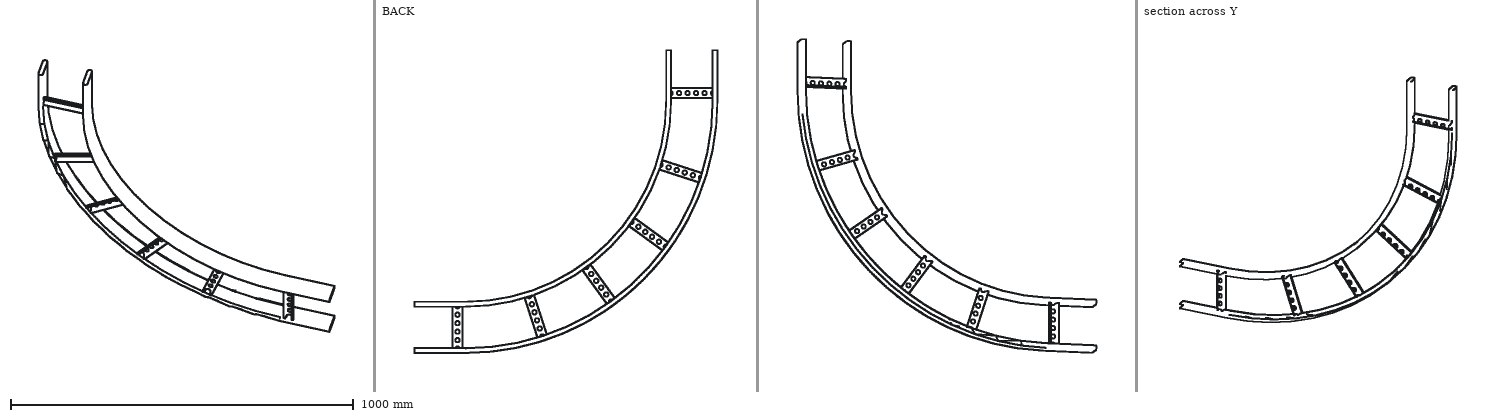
import cadquery as cq
import math


rail_depth = 60.0
rail_width = 15.0
rail_wall = 1.3
ladder_width = 150.5
bend_radius = 734.5
straight_length = 150.5

outer_rail_radius = bend_radius - rail_width / 2
inner_rail_radius = bend_radius - ladder_width + rail_width / 2
middle_radius = bend_radius - ladder_width / 2
clear_width = ladder_width - 2 * rail_width

rung_width = 30.0
rung_depth = 16.0
rung_sheet = 1.5
fold_inside_radius = 1.0
fold_outside_radius = fold_inside_radius + rung_sheet
mouth_width = 19.0
web_width = 13.0
lip_length = 5.0
rung_back = -9.0
rung_front = rung_back - rung_depth
lip_tip = rung_front + lip_length
rung_from_bend = 25.0
bend_spaces = 5
hole_diameter = 12.0
hole_pitch = 25.0
hole_count = 6


def ladder_path(radius):
    """Line, quarter arc, line, at the given distance from the bend axis."""
    middle = radius * math.sqrt(0.5)
    return (
        cq.Workplane("XZ")
        .moveTo(-radius, straight_length)
        .lineTo(-radius, 0)
        .threePointArc((-middle, -middle), (0, -radius))
        .lineTo(straight_length, -radius)
    )


def end_plane(radius):
    """Plane of the upper end, centred on the path of the given radius."""
    return cq.Workplane("XY", origin=(-radius, 0, straight_length))


def make_rail(radius):
    """Hollow rail with fully rounded edges, open at both ends."""
    section = (
        end_plane(radius)
        .slot2D(rail_depth, rail_width, 90)
        .slot2D(rail_depth - 2 * rail_wall, rail_width - 2 * rail_wall, 90)
    )
    return section.sweep(ladder_path(radius))


def hat_outline():
    """Half of the hat section as (Y, Z) points: outer side from web to lip, then inner side back."""
    mouth = mouth_width / 2
    web = web_width / 2
    edge = rung_width / 2
    return [
        (rung_back, 0),
        (rung_back, web + rung_sheet),
        (rung_front + rung_sheet, mouth + rung_sheet),
        (rung_front + rung_sheet, edge - rung_sheet),
        (lip_tip, edge - rung_sheet),
        (lip_tip, edge),
        (rung_front, edge),
        (rung_front, mouth),
        (rung_back - rung_sheet, web),
        (rung_back - rung_sheet, 0),
    ]


def make_rung():
    """Hat-channel rung lying along X at the upper end of the bend, longer than the clear width."""
    sheet_inner_y = (rung_front + rung_sheet, rung_back - rung_sheet)
    channel = (
        cq.Workplane("YZ", origin=(-bend_radius, 0, 0))
        .polyline(hat_outline())
        .mirrorX()
        .extrude(ladder_width)
        .edges("|X")
        .filter(lambda edge: any(abs(edge.Center().y - y) < rung_sheet / 4 for y in sheet_inner_y))
        .fillet(fold_inside_radius)
        .edges("|X")
        .edges(">Y or <Y")
        .fillet(fold_outside_radius)
    )
    holes = (
        cq.Workplane("XZ", origin=(-middle_radius, rung_front, 0))
        .rarray(hole_pitch, 9, hole_count, 1)
        .circle(hole_diameter / 2)
        .extrude(-2 * rung_depth)
    )
    return channel.cut(holes)


def turn(body, angle):
    """Turn a body round the bend axis, from the upper end towards the lower end."""
    return body.rotate((0, 0, 0), (0, -1, 0), angle)


outer_rail = make_rail(outer_rail_radius)
inner_rail = make_rail(inner_rail_radius)

clear_space = end_plane(middle_radius).rect(clear_width, rail_depth).sweep(ladder_path(middle_radius))

placed_rungs = [
    make_rung().translate((0, 0, rung_from_bend)),
    turn(make_rung(), 90).translate((rung_from_bend, 0, 0)),
]
for division in range(1, bend_spaces):
    placed_rungs.append(turn(make_rung(), 90 * division / bend_spaces))

rungs = [rung.intersect(clear_space) for rung in placed_rungs]

result = cq.Compound.makeCompound(
    [outer_rail.val(), inner_rail.val()] + [solid for rung in rungs for solid in rung.solids().vals()]
)